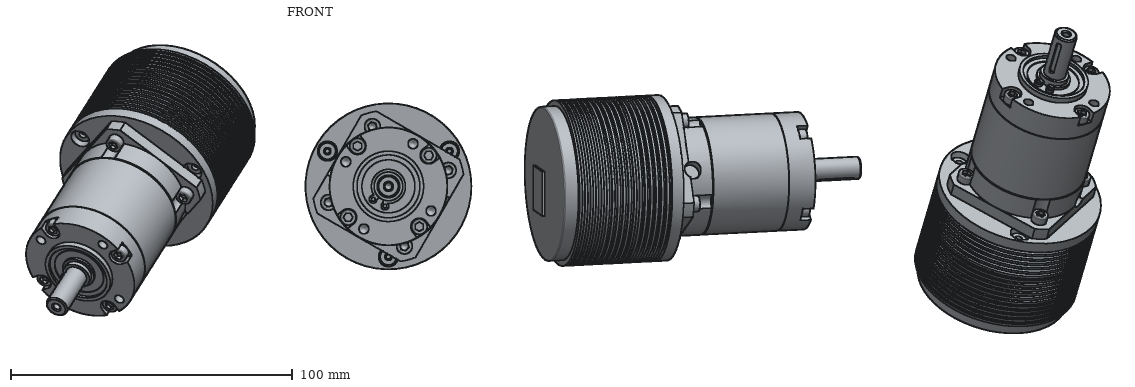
import cadquery as cq
import math


motor_radius = 59.0 / 2
flange_thickness = 4.2
fin_thickness = 1.0
shallow_groove = fin_thickness / 2
medium_groove = 2 * shallow_groove
deep_groove = 3 * shallow_groove
groove_depths = [shallow_groove] * 5 + [medium_groove] * 5 + [shallow_groove] + [deep_groove] * 6
fin_count = len(groove_depths)
fin_pitch = 2 * fin_thickness
fin_rear = -(flange_thickness + fin_count * fin_pitch)
cap_radius = 27.5
cap_length = 5.1
cap_edge_fillet = 0.3
cap_rear = fin_rear - cap_length

pad_width = 12.8
pad_height = 16.0
pad_thickness = 0.77
pad_x = 6.2
pad_z = -3.6

pocket_angles = [30, 150, 270]
pocket_circle_radius = 25.0
pocket_radius = 3.5
pocket_floor_radius = 2.9
pocket_depth = 2.2
centre_hole_radius = 1.3
centre_hole_floor_radius = 0.8
centre_hole_depth = 1.2

gearbox_radius = 20.9
plate_corner_radius = 27.0
plate_thickness = 4.5
plate_angle = 60
scallop_end = 12.9
joint_depth = 0.1
rear_joint_width = 0.3
front_joint_width = 0.1
front_cap_start = 40.9
front_face = 50.7

side_hole_angles = [150, 330]
side_hole_radius = 3.0
side_hole_offset = 4.5
side_hole_distance = 5.8
side_hole_floor = 17.0

mount_hole_angle = 60
mount_hole_circle_radius = 17.5
mount_hole_radius = 1.7
mount_hole_depth = 9.3

front_screw_angle = 37.5
front_screw_circle_radius = 18.0
recess_radius = 3.0
recess_depth = 4.0
front_socket_turn = 22.5

pilot_radius = 25.0 / 2
pilot_face = 52.8
recess_outer_radius = 11.2
recess_outer_depth = 1.0
recess_inner_radius = 9.4
recess_inner_depth = 1.4

shaft_radius = 8.0 / 2
shaft_tip = 72.2
shaft_chamfer = 0.52
collar_radius = 5.1
collar_end = 54.2
shaft_hole_radius = 1.3
shaft_hole_mouth_radius = 1.7
shaft_hole_depth = 9.3
keyway_angle = 240
keyway_width = 2.0
keyway_depth = 1.2
keyway_start = 56.5
keyway_end = 69.9

ring_radius = 6.0
ring_thickness = 1.0
ring_gap = 2.1
ring_gap_angle = 240
lug_half_angle = 20
lug_circle_radius = 7.1
lug_radius = 1.4
lug_hole_radius = 0.7

head_radius = 2.8
head_height = 3.0
head_fillet = 0.3
socket_width = 2.9
socket_depth = 1.5
shank_radius = 1.5
shank_length = 8.0
plate_screw_angle = 15
plate_screw_circle_radius = 22.0
scallop_radius = 2.9

drill_point_angle = 118
hexagon_sides = 6

cut_clearance = 1.2
quarter_turns = [0, 90, 180, 270]


def plane_at(distance):
    """Work plane across the axis, looking out along -Y."""
    return cq.Workplane("XZ").workplane(offset=distance)


def disc(radius, start, end):
    return plane_at(start).circle(radius).extrude(end - start)


def tube(outer_radius, inner_radius, start, end):
    return plane_at(start).circle(outer_radius).circle(inner_radius).extrude(end - start)


def turned(shape, angle):
    """Turn a shape around the axis by an angle from +X towards +Z."""
    return shape.rotate((0, 0, 0), (0, -1, 0), angle)


def placed(shape, circle_radius, angle):
    """Move a shape from the axis out to a point on a hole circle."""
    return turned(shape.translate((circle_radius, 0, 0)), angle)


def taper(outer_radius, inner_radius, face, depth):
    """Cone that narrows from a face into the part."""
    cone = cq.Solid.makeCone(outer_radius, inner_radius, depth, cq.Vector(0, -face, 0), cq.Vector(0, 1, 0))
    return cq.Workplane(cone)


def drill(radius, face, depth):
    """Blind hole with a drill point, entering at a face."""
    point_depth = radius / math.tan(math.radians(drill_point_angle / 2))
    return disc(radius, face - depth, face).union(taper(radius, 0, face - depth, point_depth))


def flat_socket(face):
    """Hexagonal socket with a flat floor."""
    across_corners = socket_width / math.cos(math.pi / hexagon_sides)
    return plane_at(face - socket_depth).polygon(hexagon_sides, across_corners).extrude(socket_depth)


def drilled_socket(face):
    """Hexagonal socket with a conical floor."""
    floor_radius = socket_width / 2
    point_depth = floor_radius / math.tan(math.radians(drill_point_angle / 2))
    return flat_socket(face).union(taper(floor_radius, 0, face - socket_depth, point_depth))


def screw_head(seat):
    face = seat + head_height
    return disc(head_radius, seat, face).faces("<Y").edges().fillet(head_fillet)


def plate_screw_at(angle):
    shank = disc(shank_radius, plate_thickness - shank_length, plate_thickness)
    screw = screw_head(plate_thickness).cut(drilled_socket(plate_thickness + head_height)).union(shank)
    return placed(screw, plate_screw_circle_radius, angle)


def shank_hole_at(angle):
    hole = disc(shank_radius, plate_thickness - shank_length, plate_thickness)
    return placed(hole, plate_screw_circle_radius, angle)


def build_motor():
    body = disc(motor_radius, fin_rear, 0)
    for index, depth in enumerate(groove_depths):
        start = fin_rear + index * fin_pitch + fin_thickness
        groove = tube(motor_radius + cut_clearance, motor_radius - depth, start, start + fin_thickness)
        body = body.cut(groove)

    rear_cap = disc(cap_radius, cap_rear, fin_rear).faces(">Y").edges().fillet(cap_edge_fillet)
    pad = plane_at(cap_rear - pad_thickness).center(pad_x, pad_z).rect(pad_width, pad_height)
    body = body.union(rear_cap).union(pad.extrude(pad_thickness))

    pocket = taper(pocket_radius, pocket_floor_radius, 0, pocket_depth)
    centre_hole = taper(centre_hole_radius, centre_hole_floor_radius, -pocket_depth, centre_hole_depth)
    for angle in pocket_angles:
        body = body.cut(placed(pocket, pocket_circle_radius, angle))
        body = body.cut(placed(centre_hole, pocket_circle_radius, angle))
    for turn in quarter_turns:
        body = body.cut(shank_hole_at(plate_screw_angle + turn))
    return body


def mounting_plate():
    """Square plate whose corners are rounded off by a circle around the axis."""
    side = 2 * gearbox_radius
    square = turned(plane_at(0).rect(side, side).extrude(plate_thickness), plate_angle)
    return square.intersect(disc(plate_corner_radius, 0, plate_thickness))


def side_hole(angle):
    depth = gearbox_radius - side_hole_floor + cut_clearance
    hole = cq.Workplane("YZ").workplane(offset=side_hole_floor)
    hole = hole.center(-side_hole_distance, 0).circle(side_hole_radius).extrude(depth)
    return turned(hole.translate((0, 0, side_hole_offset)), angle)


def front_recess():
    """Round-ended slot, open to the outside of the front cap."""
    slot_length = gearbox_radius - front_screw_circle_radius + cut_clearance
    floor = plane_at(front_face - recess_depth)
    slot = floor.center(slot_length / 2, 0).rect(slot_length, 2 * recess_radius).extrude(recess_depth)
    return slot.union(disc(recess_radius, front_face - recess_depth, front_face))


def retaining_ring(start):
    end = start + ring_thickness
    ring = disc(ring_radius, start, end)
    lug = disc(lug_radius, start, end)
    lug_hole = disc(lug_hole_radius, start, end)
    for angle in (-lug_half_angle, lug_half_angle):
        ring = ring.union(placed(lug, lug_circle_radius, angle))
    for angle in (-lug_half_angle, lug_half_angle):
        ring = ring.cut(placed(lug_hole, lug_circle_radius, angle))
    gap_length = lug_circle_radius + lug_radius
    gap = plane_at(start).center(gap_length / 2, 0).rect(gap_length, ring_gap).extrude(ring_thickness)
    return turned(ring.cut(gap), ring_gap_angle)


def output_shaft(start):
    shaft = disc(shaft_radius, start, shaft_tip).faces("<Y").edges().chamfer(shaft_chamfer)
    shaft = shaft.union(disc(collar_radius, start, collar_end))
    shaft = shaft.cut(drill(shaft_hole_radius, shaft_tip, shaft_hole_depth))
    mouth_depth = shaft_hole_mouth_radius - shaft_hole_radius
    shaft = shaft.cut(taper(shaft_hole_mouth_radius, shaft_hole_radius, shaft_tip, mouth_depth))
    keyway = cq.Workplane("YZ").workplane(offset=shaft_radius - keyway_depth)
    keyway = keyway.center(-(keyway_start + keyway_end) / 2, 0)
    keyway = keyway.slot2D(keyway_end - keyway_start, keyway_width).extrude(2 * keyway_depth)
    return shaft.cut(turned(keyway, keyway_angle))


def build_gearbox():
    body = disc(gearbox_radius, plate_thickness, front_face)
    scallop = disc(scallop_radius, plate_thickness, scallop_end)
    for turn in quarter_turns:
        body = body.cut(placed(scallop, plate_screw_circle_radius, plate_screw_angle + turn))

    groove_floor = gearbox_radius - joint_depth
    groove_outside = gearbox_radius + cut_clearance
    body = body.cut(tube(groove_outside, groove_floor, scallop_end, scallop_end + rear_joint_width))
    body = body.cut(tube(groove_outside, groove_floor, front_cap_start, front_cap_start + front_joint_width))

    body = body.union(mounting_plate())
    for angle in side_hole_angles:
        body = body.cut(side_hole(angle))
    for turn in quarter_turns:
        body = body.cut(shank_hole_at(plate_screw_angle + turn))

    mount_hole = drill(mount_hole_radius, front_face, mount_hole_depth)
    recess = front_recess()
    seat = front_face - recess_depth
    front_screw = turned(screw_head(seat).cut(flat_socket(seat + head_height)), front_socket_turn)
    for turn in quarter_turns:
        body = body.cut(placed(mount_hole, mount_hole_circle_radius, mount_hole_angle + turn))
        body = body.cut(placed(recess, front_screw_circle_radius, front_screw_angle + turn))
        body = body.union(placed(front_screw, front_screw_circle_radius, front_screw_angle + turn))

    bearing_face = pilot_face - recess_inner_depth
    body = body.union(disc(pilot_radius, front_face, pilot_face))
    body = body.cut(disc(recess_outer_radius, pilot_face - recess_outer_depth, pilot_face))
    body = body.cut(disc(recess_inner_radius, bearing_face, pilot_face))
    body = body.union(output_shaft(bearing_face))
    return body.union(retaining_ring(bearing_face))


motor = build_motor()
gearbox = build_gearbox()
plate_screws = [plate_screw_at(plate_screw_angle + turn) for turn in quarter_turns]

bodies = [motor, gearbox, *plate_screws]
result = cq.Compound.makeCompound([body.solids().val() for body in bodies])